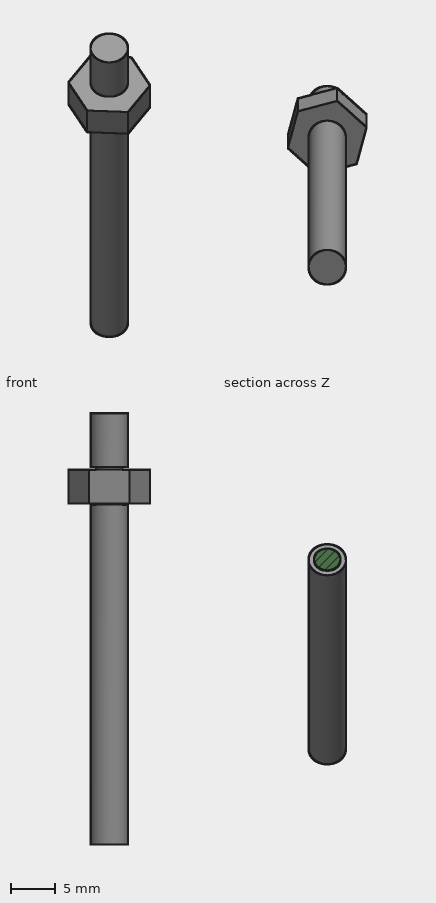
import cadquery as cq

total_length = 48.25
rod_diameter = 4.2

hex_across_corners = 9.15
hex_height = 3.8
hex_bottom = 38.13
hex_top = hex_bottom + hex_height

neck_diameter = 3.0
upper_neck_height = 0.3
lower_neck_height = 0.1
lower_rod_top = hex_bottom - lower_neck_height
upper_rod_bottom = hex_top + upper_neck_height


def cylinder(diameter, bottom, top):
    """Round section on the Z axis between two heights."""
    return cq.Workplane("XY").workplane(offset=bottom).circle(diameter / 2).extrude(top - bottom)


lower_rod = cylinder(rod_diameter, 0, lower_rod_top)
upper_rod = cylinder(rod_diameter, upper_rod_bottom, total_length)
neck = cylinder(neck_diameter, lower_rod_top, upper_rod_bottom)
collar = (
    cq.Workplane("XY")
    .workplane(offset=hex_bottom)
    .polygon(6, hex_across_corners)
    .extrude(hex_height)
)

result = neck.union(collar).union(lower_rod).union(upper_rod)